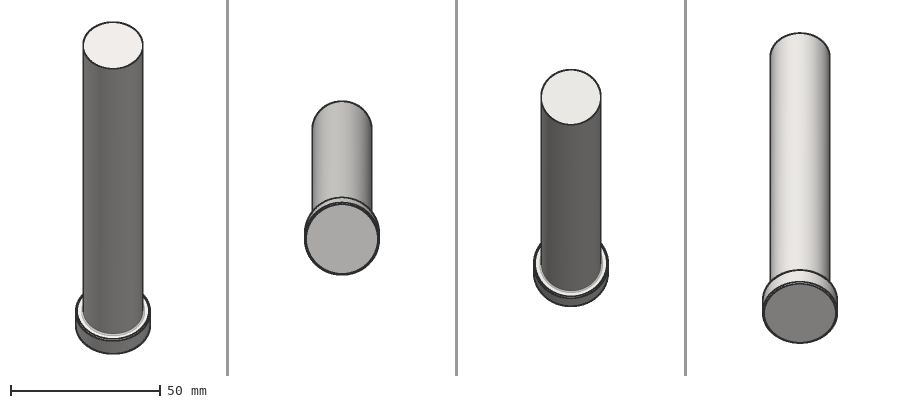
import cadquery as cq

total_length = 150.0
shaft_diameter = 20.1
head_diameter = 25.0
head_height = 8.0

head_chamfer = 0.5
neck_fillet_radius = 0.5

shaft_radius = shaft_diameter / 2
neck_radius = shaft_radius + neck_fillet_radius
neck_top = head_height + neck_fillet_radius

head = cq.Workplane("XY").circle(head_diameter / 2).extrude(head_height)
head = head.edges().chamfer(head_chamfer)

shaft = (
    cq.Workplane("XZ")
    .lineTo(neck_radius, 0)
    .lineTo(neck_radius, head_height)
    .radiusArc((shaft_radius, neck_top), neck_fillet_radius)
    .lineTo(shaft_radius, total_length)
    .lineTo(0, total_length)
    .close()
    .revolve(360, (0, 0), (0, 1))
)

result = head.union(shaft)